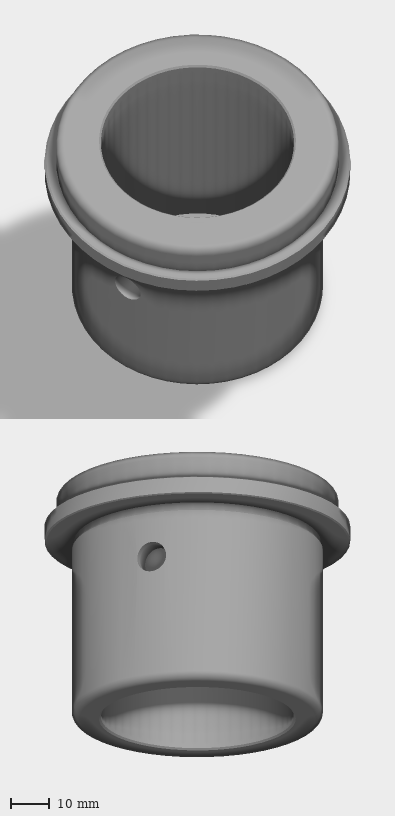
import cadquery as cq
import math

total_height = 61.0
flange_top = 52.75
flange_bottom = 48.2
groove_bottom = 46.0

flange_radius = 39.5
head_radius = 36.5
barrel_radius = 32.5
liner_outer_radius = 27.0
bore_radius = 24.95

rounding_radius = 2.0
flange_chamfer_width = 0.5
flange_chamfer_height = 0.2
groove_depth = 0.7
groove_arc_radius = 1.8
bore_chamfer = 0.5

hole_diameter = 8.0
hole_height = 34.0


def make_housing():
    """Flanged sleeve with a relief groove, rounded ends and a radial hole."""
    groove_radius = barrel_radius - groove_depth
    groove_center_radius = groove_radius + groove_arc_radius
    half_height = math.sqrt(groove_arc_radius**2 - (groove_arc_radius - groove_depth) ** 2)
    groove_middle = groove_bottom + half_height
    groove_end_rise = flange_bottom - groove_middle
    groove_end_radius = groove_center_radius - math.sqrt(groove_arc_radius**2 - groove_end_rise**2)

    profile = (
        cq.Workplane("XZ")
        .moveTo(liner_outer_radius, 0)
        .lineTo(barrel_radius - rounding_radius, 0)
        .radiusArc((barrel_radius, rounding_radius), -rounding_radius)
        .lineTo(barrel_radius, groove_bottom)
        .threePointArc((groove_radius, groove_middle), (groove_end_radius, flange_bottom))
        .lineTo(flange_radius - flange_chamfer_width, flange_bottom)
        .lineTo(flange_radius, flange_bottom + flange_chamfer_height)
        .lineTo(flange_radius, flange_top - flange_chamfer_height)
        .lineTo(flange_radius - flange_chamfer_width, flange_top)
        .lineTo(head_radius, flange_top)
        .lineTo(head_radius, total_height - rounding_radius)
        .radiusArc((head_radius - rounding_radius, total_height), -rounding_radius)
        .lineTo(liner_outer_radius, total_height)
        .close()
    )
    sleeve = profile.revolve(360, (0, 0, 0), (0, 1, 0))
    hole = (
        cq.Workplane("XZ")
        .center(0, hole_height)
        .circle(hole_diameter / 2)
        .extrude(flange_radius)
    )
    return sleeve.cut(hole)


def make_liner():
    """Plain bearing tube filling the housing bore, with a chamfer at each end."""
    mouth_radius = bore_radius + bore_chamfer
    profile = (
        cq.Workplane("XZ")
        .moveTo(mouth_radius, 0)
        .lineTo(liner_outer_radius, 0)
        .lineTo(liner_outer_radius, total_height)
        .lineTo(mouth_radius, total_height)
        .lineTo(bore_radius, total_height - bore_chamfer)
        .lineTo(bore_radius, bore_chamfer)
        .close()
    )
    return profile.revolve(360, (0, 0, 0), (0, 1, 0))


housing = make_housing()
liner = make_liner()

result = cq.Compound.makeCompound([housing.val(), liner.val()])